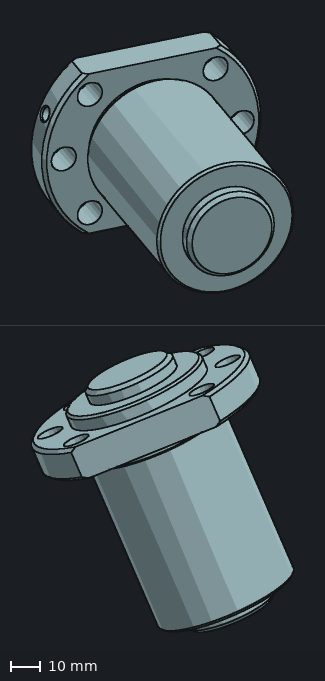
import cadquery as cq
import math

shaft_length = 92.0
shaft_diameter = 32.0
shaft_chamfer = 1.5

shaft_stickout = 5.1
barrel_diameter = 50.0
barrel_chamfer = 0.9
barrel_start = shaft_stickout
barrel_end = shaft_length - shaft_stickout

flange_start = 10.1
flange_thickness = 11.9
flange_end = flange_start + flange_thickness
flange_diameter = 80.0
flange_height = 62.0
flange_chamfer = 1.3

groove_diameter = 47.0
groove_width = 3.0

bolt_circle_diameter = 64.95
bolt_hole_diameter = 9.0
bolt_spacing = 45.0
bolt_angles = [side + step * bolt_spacing for side in (0, 180) for step in (-1, 0, 1)]

port_diameter = 4.9
port_mouth_diameter = 6.0
port_mouth_depth = (port_mouth_diameter - port_diameter) / 2
port_angle = bolt_spacing / 2


def cylinder_along_x(start, end, diameter):
    return cq.Workplane("YZ", origin=(start, 0, 0)).circle(diameter / 2).extrude(end - start)


def make_shaft():
    return cylinder_along_x(0, shaft_length, shaft_diameter).edges().chamfer(shaft_chamfer)


def make_flange():
    disc = cylinder_along_x(flange_start, flange_end, flange_diameter).edges().chamfer(flange_chamfer)
    flats = cq.Workplane("YZ", origin=(flange_start, 0, 0)).rect(flange_diameter, flange_height)
    return disc.intersect(flats.extrude(flange_thickness))


def make_barrel():
    barrel = cylinder_along_x(barrel_start, barrel_end, barrel_diameter).edges().chamfer(barrel_chamfer)
    groove_end = flange_end + groove_width
    groove = cylinder_along_x(flange_end, groove_end, barrel_diameter).cut(
        cylinder_along_x(flange_end, groove_end, groove_diameter)
    )
    return barrel.cut(groove)


def bolt_position(angle):
    radius = bolt_circle_diameter / 2
    return (radius * math.cos(math.radians(angle)), radius * math.sin(math.radians(angle)))


def make_bolt_holes():
    return (
        cq.Workplane("YZ", origin=(flange_start, 0, 0))
        .pushPoints([bolt_position(angle) for angle in bolt_angles])
        .circle(bolt_hole_diameter / 2)
        .extrude(flange_thickness)
    )


def make_grease_port():
    """Bore from the shaft axis to the flange rim, with a conical mouth at the rim."""
    rim_radius = flange_diameter / 2
    profile = [
        (0, 0),
        (port_diameter / 2, 0),
        (port_diameter / 2, rim_radius - port_mouth_depth),
        (port_mouth_diameter / 2, rim_radius),
        (0, rim_radius),
    ]
    port = cq.Workplane("XY").polyline(profile).close().revolve(360, (0, 0, 0), (0, 1, 0))
    port_x = (flange_start + flange_end) / 2
    return port.rotate((0, 0, 0), (1, 0, 0), 180 - port_angle).translate((port_x, 0, 0))


def make_nut():
    nut = make_barrel().union(make_flange())
    nut = nut.cut(make_bolt_holes()).cut(make_grease_port())
    return nut.cut(cylinder_along_x(barrel_start, barrel_end, shaft_diameter))


shaft = make_shaft()
nut = make_nut()
result = cq.Compound.makeCompound([shaft.val(), nut.val()])